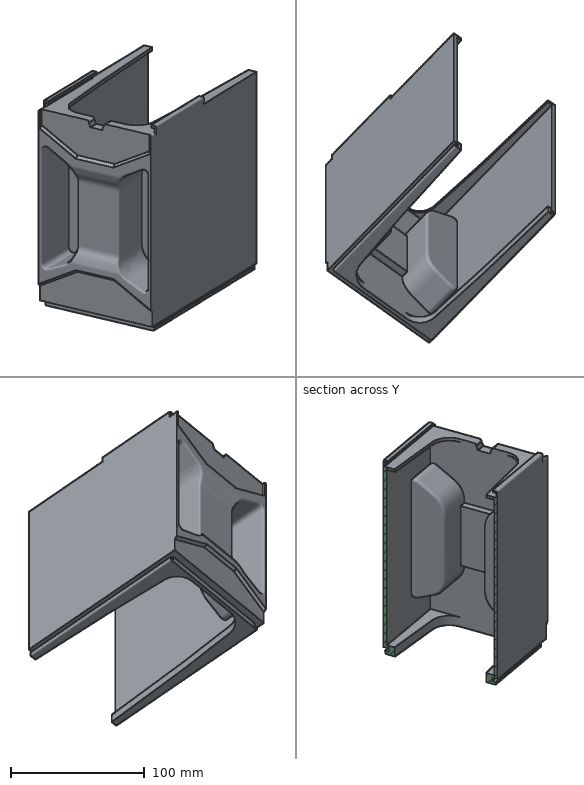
import cadquery as cq
import math

WIDTH = 99.0
DEPTH = 150.0
HEIGHT = 166.0
HALF_WIDTH = WIDTH / 2
MID_Z = HEIGHT / 2

JOINT_HEIGHT = 5.5
JOINT_START_Y = 7.5
BODY_BOTTOM = JOINT_HEIGHT
BODY_TOP = HEIGHT - JOINT_HEIGHT
STRIP_WIDTH = 1.4
TONGUE_HALF_WIDTH = HALF_WIDTH - STRIP_WIDTH
GROOVE_HALF_WIDTH = 45.1
TONGUE_LIP_HEIGHT = 3.0
TONGUE_ROUND = 1.4
HOOK_LENGTH = 68.0
HOOK_LIP_THICKNESS = 2.0
HOOK_ROUND = 1.3

BAND_RISE = 2.2
BAND_HALF_HEIGHT = 45.0
BAND_FLAT_HALF_WIDTH = 16.4
BAND_ANGLE = 29.0

NOTCH_DEPTH = 5.3
NOTCH_BOTTOM_HALF_WIDTH = 5.1
NOTCH_TOP_HALF_WIDTH = 6.5
NOTCH_ROUND = 2.0

FLANGE_THICKNESS = 2.7
SIDE_WALL = 3.4
FRONT_WALL = 10.3
OPENING_REAR_HALF_WIDTH = 42.3
OPENING_MIDDLE_HALF_WIDTH = 39.5
OPENING_MIDDLE_Y = 75.0
OPENING_FRONT_HALF_WIDTH = 35.3
OPENING_CORNER_RADIUS = 15.5

POCKET_OUTER_X = 46.7
POCKET_INNER_X = 18.3
POCKET_TOP_CORNER_Z = 134.4
POCKET_TOP_ANGLE = 29.5
POCKET_BOTTOM_CORNER_Z = 31.2
POCKET_BOTTOM_ANGLE = 24.0
POCKET_OUTER_RADIUS = 3.7
POCKET_INNER_RADIUS = 16.0
POCKET_OUTER_DRAFT = 0.7
POCKET_EDGE_ROUND = 1.4
SHELL_WALL = 1.6
SHELL_DEPTH = 39.1
SHELL_ROUND = 2.2
POCKET_DEPTH = SHELL_DEPTH - SHELL_WALL

RECESS_TOP = 121.9
RECESS_BOTTOM = 42.2
RECESS_DEPTH = 5.3
RECESS_SLOPES = [(0, 20), (20, 20), (20, 28), (28, 34)]
RECESS_TOP_HEIGHTS = [2.0, 3.7, 2.2, 1.8]
RECESS_BOTTOM_HEIGHTS = [1.9, 2.8, 2.5, 2.2]
RECESS_TOP_FLOOR_ARC = 5.1
RECESS_BOTTOM_FLOOR_ARC = 4.5
RECESS_HALF_WIDTH = 30.0
RECESS_BACK_WALL_Y = 16.0


def box(x0, x1, y0, y1, z0, z1):
    return cq.Workplane("XY").box(x1 - x0, y1 - y0, z1 - z0, centered=False).translate((x0, y0, z0))


def mirrored_pair(shape):
    return shape.union(shape.mirror("YZ"))


def front_sketch(y):
    """Plane at depth y whose local axes are X and Z; it extrudes toward -Y."""
    return cq.Workplane("XZ", origin=(0, y, 0))


def band_set_back(outer_edge_z, half_width):
    """Region in front of the set-back area that runs from the band to an outer edge."""
    toward_edge = math.copysign(1, outer_edge_z - MID_Z)
    slope_rise = (half_width - BAND_FLAT_HALF_WIDTH) * math.tan(math.radians(BAND_ANGLE))

    def outline(y, offset):
        flat_z = MID_Z + toward_edge * (BAND_HALF_HEIGHT + offset)
        side_z = flat_z + toward_edge * slope_rise
        points = [
            (-half_width, outer_edge_z),
            (-half_width, side_z),
            (-BAND_FLAT_HALF_WIDTH, flat_z),
            (BAND_FLAT_HALF_WIDTH, flat_z),
            (half_width, side_z),
            (half_width, outer_edge_z),
        ]
        return front_sketch(y).polyline(points).close().wires().val()

    wires = [outline(0, 0), outline(BAND_RISE, BAND_RISE)]
    return cq.Workplane(cq.Solid.makeLoft(wires, True))


def u_opening():
    """Vertical cavity mouth that narrows from the rear toward the front."""
    points = [
        (-OPENING_REAR_HALF_WIDTH, DEPTH),
        (-OPENING_MIDDLE_HALF_WIDTH, OPENING_MIDDLE_Y),
        (-OPENING_FRONT_HALF_WIDTH, FRONT_WALL),
        (OPENING_FRONT_HALF_WIDTH, FRONT_WALL),
        (OPENING_MIDDLE_HALF_WIDTH, OPENING_MIDDLE_Y),
        (OPENING_REAR_HALF_WIDTH, DEPTH),
    ]
    opening = cq.Workplane("XY").polyline(points).close().extrude(HEIGHT)
    return opening.edges("|Z and <Y").fillet(OPENING_CORNER_RADIUS)


def pocket_prism(depth, outer_draft, clearance):
    """Left pocket volume from the front face to a depth, grown sideways by a clearance."""

    def outline(y, outer_x):
        top_slope = math.tan(math.radians(POCKET_TOP_ANGLE))
        bottom_slope = math.tan(math.radians(POCKET_BOTTOM_ANGLE))
        top_z = POCKET_TOP_CORNER_Z + clearance * math.hypot(1, top_slope)
        bottom_z = POCKET_BOTTOM_CORNER_Z - clearance * math.hypot(1, bottom_slope)
        points = []
        for x in (outer_x + clearance, POCKET_INNER_X - clearance):
            inset = POCKET_OUTER_X - x
            points.append((-x, top_z - inset * top_slope))
            points.append((-x, bottom_z + inset * bottom_slope))
        outer_top, outer_bottom, inner_top, inner_bottom = points
        loop = [outer_bottom, inner_bottom, inner_top, outer_top]
        return front_sketch(y).polyline(loop).close().val()

    wires = [outline(0, POCKET_OUTER_X), outline(depth, POCKET_OUTER_X - outer_draft)]
    prism = cq.Workplane(cq.Solid.makeLoft(wires, True))
    middle_x = (POCKET_OUTER_X + POCKET_INNER_X) / 2

    def lengthwise_edges(x0, x1):
        """Edges running front to back, picked by where their midpoints lie."""
        return cq.selectors.BoxSelector((x0, depth / 4, 0), (x1, depth * 3 / 4, HEIGHT))

    inner_edges = prism.edges(lengthwise_edges(-middle_x, 0))
    prism = inner_edges.fillet(POCKET_INNER_RADIUS + clearance)
    outer_edges = prism.edges(lengthwise_edges(-HALF_WIDTH, outer_draft - POCKET_OUTER_X))
    return outer_edges.fillet(POCKET_OUTER_RADIUS + clearance)


def pocket():
    return pocket_prism(POCKET_DEPTH, POCKET_OUTER_DRAFT, 0)


def pocket_shell():
    """Block whose walls stand one shell thickness outside the pocket."""
    shell = pocket_prism(SHELL_DEPTH, 0, SHELL_WALL)
    shell = shell.faces(">Y").edges().fillet(SHELL_ROUND)
    return shell.intersect(box(-HALF_WIDTH, 0, BAND_RISE, DEPTH, 0, HEIGHT))


def recess_end(edge_z, step_heights, floor_arc_height):
    """Half of the central recess, from its edge on the front face to mid height."""
    mid_z = (RECESS_TOP + RECESS_BOTTOM) / 2
    inward = math.copysign(1, mid_z - edge_z)
    y, z = 0, edge_z
    profile = cq.Workplane("YZ", origin=(-RECESS_HALF_WIDTH, 0, 0)).moveTo(y, z)

    def add_step(height, start, end):
        nonlocal profile, y, z
        chord = height / math.cos((start + end) / 2)
        half_chord = chord / 2 / math.cos((end - start) / 4)
        half_angle = (3 * start + end) / 4
        arc_y = y + half_chord * math.sin(half_angle)
        arc_z = z + inward * half_chord * math.cos(half_angle)
        y += chord * math.sin((start + end) / 2)
        z += inward * height
        if start == end:
            profile = profile.lineTo(y, z)
        else:
            profile = profile.threePointArc((arc_y, arc_z), (y, z))

    for height, (start_slope, end_slope) in zip(step_heights, RECESS_SLOPES):
        add_step(height, math.radians(start_slope), math.radians(end_slope))
    floor_arc_slope = 2 * math.atan((RECESS_DEPTH - y) / floor_arc_height)
    add_step(floor_arc_height, floor_arc_slope, 0)
    return profile.lineTo(y, mid_z).lineTo(0, mid_z).close().extrude(2 * RECESS_HALF_WIDTH)


def central_recess():
    upper = recess_end(RECESS_TOP, RECESS_TOP_HEIGHTS, RECESS_TOP_FLOOR_ARC)
    lower = recess_end(RECESS_BOTTOM, RECESS_BOTTOM_HEIGHTS, RECESS_BOTTOM_FLOOR_ARC)
    return upper.union(lower)


def notch():
    """Tapered slot through the top of the front wall, with rounded upper lips."""
    bottom = BODY_TOP - NOTCH_DEPTH
    lip_x = NOTCH_TOP_HALF_WIDTH + NOTCH_ROUND
    lip_z = BODY_TOP - NOTCH_ROUND
    offset = NOTCH_ROUND * math.sqrt(0.5)
    lip_middle = (lip_x - offset, lip_z + offset)
    outline = (
        front_sketch(FRONT_WALL)
        .moveTo(-NOTCH_BOTTOM_HALF_WIDTH, bottom)
        .lineTo(NOTCH_BOTTOM_HALF_WIDTH, bottom)
        .lineTo(NOTCH_TOP_HALF_WIDTH, lip_z)
        .threePointArc(lip_middle, (lip_x, BODY_TOP))
        .lineTo(-lip_x, BODY_TOP)
        .threePointArc((-lip_middle[0], lip_middle[1]), (-NOTCH_TOP_HALF_WIDTH, lip_z))
        .close()
    )
    return outline.extrude(FRONT_WALL)


def tongue():
    """Lower rail with an overhanging lip along each side."""
    lip = box(-TONGUE_HALF_WIDTH, TONGUE_HALF_WIDTH, JOINT_START_Y, DEPTH, 0, TONGUE_LIP_HEIGHT)
    lip = lip.edges("|Y and <Z").fillet(TONGUE_ROUND)
    neck = box(-GROOVE_HALF_WIDTH, GROOVE_HALF_WIDTH, JOINT_START_Y, DEPTH, 0, JOINT_HEIGHT)
    return lip.union(neck)


def left_hook():
    end_y = JOINT_START_Y + HOOK_LENGTH
    wall = box(-HALF_WIDTH, -TONGUE_HALF_WIDTH, JOINT_START_Y, end_y, BODY_TOP, HEIGHT)
    lip_bottom = HEIGHT - HOOK_LIP_THICKNESS
    lip = box(-HALF_WIDTH, -GROOVE_HALF_WIDTH, JOINT_START_Y, end_y, lip_bottom, HEIGHT)
    return wall.union(lip).edges("|Y and <X and >Z").fillet(HOOK_ROUND)


def outer_body():
    body = box(-HALF_WIDTH, HALF_WIDTH, 0, DEPTH, BODY_BOTTOM, BODY_TOP)
    body = body.cut(band_set_back(BODY_TOP, TONGUE_HALF_WIDTH))
    body = body.cut(band_set_back(BODY_BOTTOM, HALF_WIDTH))
    edge_bottom = BODY_TOP - STRIP_WIDTH
    edge = box(-HALF_WIDTH, -TONGUE_HALF_WIDTH, 0, JOINT_START_Y, edge_bottom, BODY_TOP)
    rounded_edge = edge.edges("|Y and <X and >Z").fillet(HOOK_ROUND)
    return body.cut(mirrored_pair(edge)).union(mirrored_pair(rounded_edge)).union(tongue())


def rear_cavity():
    """Wide chamber between the flanges, plus the narrower opening through both flanges."""
    half = HALF_WIDTH - SIDE_WALL
    floor_z = BODY_BOTTOM + FLANGE_THICKNESS
    ceiling_z = BODY_TOP - FLANGE_THICKNESS
    chamber = box(-half, half, FRONT_WALL, DEPTH, floor_z, ceiling_z)
    return chamber.union(u_opening())


def recess_back_wall():
    """Thicker wall behind the flat floor of the central recess."""
    x = POCKET_INNER_X
    top = RECESS_TOP - sum(RECESS_TOP_HEIGHTS) - RECESS_TOP_FLOOR_ARC
    bottom = RECESS_BOTTOM + sum(RECESS_BOTTOM_HEIGHTS) + RECESS_BOTTOM_FLOOR_ARC
    return box(-x, x, BAND_RISE, RECESS_BACK_WALL_Y, bottom, top)


def pocket_mouth_edges(part):
    """Edges where the pocket walls meet the band face and the central recess."""
    tolerance = 0.05
    x_max = POCKET_OUTER_X + tolerance
    mouth = cq.selectors.BoxSelector(
        (-x_max, -tolerance, POCKET_BOTTOM_CORNER_Z),
        (x_max, RECESS_DEPTH + tolerance, POCKET_TOP_CORNER_Z),
        boundingbox=True,
    )
    between_pockets = cq.selectors.BoxSelector(
        (-POCKET_INNER_X + tolerance, -tolerance, 0),
        (POCKET_INNER_X - tolerance, DEPTH, HEIGHT),
    )
    return part.edges(mouth - between_pockets)


pockets = mirrored_pair(pocket())
part = outer_body().cut(rear_cavity())
part = part.union(mirrored_pair(pocket_shell())).union(recess_back_wall())
part = part.cut(central_recess()).cut(pockets)
part = pocket_mouth_edges(part).fillet(POCKET_EDGE_ROUND)
part = part.cut(notch()).union(mirrored_pair(left_hook()))

result = part